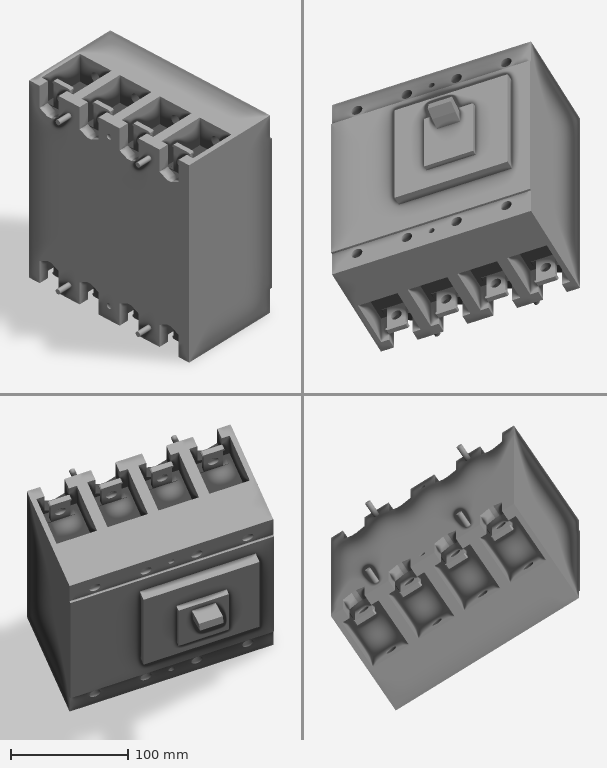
import cadquery as cq


HEIGHT = 205.0
WIDTH = 186.0
BODY_DEPTH = 101.5
POLE_COUNT = 4
POLE_PITCH = WIDTH / POLE_COUNT
POLE_CENTRES = [(i - (POLE_COUNT - 1) / 2) * POLE_PITCH for i in range(POLE_COUNT)]
TOP = HEIGHT / 2

COVER_CENTRE_X = POLE_CENTRES[1]
PLATE_HEIGHT = 155.4
PLATE_THICKNESS = 2.0
ESCUTCHEON_SIZE = 105.8
ESCUTCHEON_THICKNESS = 9.0
ESCUTCHEON_Z = 6.8
BEZEL_WIDTH = 46.0
BEZEL_HEIGHT = 57.6
BEZEL_THICKNESS = 5.1
BEZEL_Z = 3.5
PLATE_FRONT = BODY_DEPTH + PLATE_THICKNESS
ESCUTCHEON_FRONT = PLATE_FRONT + ESCUTCHEON_THICKNESS
BEZEL_FRONT = ESCUTCHEON_FRONT + BEZEL_THICKNESS

HANDLE_WIDTH = 21.7
HANDLE_PROFILE = [
    (0, 25.2),
    (5.7, 27.3),
    (17.0, 29.5),
    (19.3, 22.0),
    (9.8, 17.8),
    (0, 15.0),
]

POCKET_WIDTH = 37.0
POCKET_DEPTH = 28.7
POCKET_BACK = 10.2
POCKET_FRONT = 58.2

SLOT_WIDTH = 22.1
SLOT_STRAIGHT = 23.0
SLOT_DEPTH = 27.5
SLOT_FLAT = 4.5

TAB_BACK = 15.2
TAB_THICKNESS = 4.7
TAB_FRONT = TAB_BACK + TAB_THICKNESS
TAB_INSET = 1.6
TAB_WIDTH = 17.6
TAB_TIP_WIDTH = 18.0
BARB_WIDTH = 20.0
BARB_CHAMFER = (BARB_WIDTH - TAB_TIP_WIDTH) / 2
BARB_BOTTOM = 4.3
FOOT_WIDTH = 28.3
FOOT_HEIGHT = 0.6

TERMINAL_HOLE_DIAMETER = 10.0
HOUSING_HOLE_INSET = 16.0
TAB_HOLE_INSET = 16.5
MOUNT_INSET = 14.5
MOUNT_HOLE_DIAMETER = 5.5
PIN_DIAMETER = 5.1
PIN_LENGTH = 14.1


def block(width, height, back, front, x=0.0, z=0.0):
    """Box centred on (x, z), spanning back to front in Y."""
    depth = front - back
    return cq.Workplane("XY").box(width, depth, height).translate((x, back + depth / 2, z))


def extrude_y(outline, back, front):
    """Extrude a closed XZ outline from back to front in Y."""
    return (
        cq.Workplane("XZ", origin=(0, back, 0))
        .polyline(outline)
        .close()
        .extrude(back - front)
    )


def rod(x, z, diameter, back, front):
    """Round bar along Y."""
    return (
        cq.Workplane("XZ", origin=(x, back, z))
        .circle(diameter / 2)
        .extrude(back - front)
    )


def mirrored_outline(right_half):
    """Close a right-hand half outline with its mirror image about X = 0."""
    left_half = [(-x, z) for x, z in reversed(right_half)]
    return right_half + left_half


def both_ends(upper):
    """The shape at the upper end together with its mirror at the lower end."""
    return upper.union(upper.mirror("XY"))


def front_cover():
    plate = block(WIDTH, PLATE_HEIGHT, BODY_DEPTH, PLATE_FRONT)
    escutcheon = block(
        ESCUTCHEON_SIZE, ESCUTCHEON_SIZE, PLATE_FRONT, ESCUTCHEON_FRONT, COVER_CENTRE_X, ESCUTCHEON_Z
    )
    bezel = block(BEZEL_WIDTH, BEZEL_HEIGHT, ESCUTCHEON_FRONT, BEZEL_FRONT, COVER_CENTRE_X, BEZEL_Z)
    return plate.union(escutcheon).union(bezel)


def handle():
    start_x = COVER_CENTRE_X - HANDLE_WIDTH / 2
    return (
        cq.Workplane("YZ", origin=(start_x, BEZEL_FRONT, 0))
        .polyline(HANDLE_PROFILE)
        .close()
        .extrude(HANDLE_WIDTH)
    )


def terminal_pocket():
    """Cutter for one upper pocket and its slot, centred on X = 0."""
    pocket = block(POCKET_WIDTH, POCKET_DEPTH, POCKET_BACK, POCKET_FRONT, z=TOP - POCKET_DEPTH / 2)
    slot_outline = mirrored_outline([
        (SLOT_WIDTH / 2, TOP),
        (SLOT_WIDTH / 2, TOP - SLOT_STRAIGHT),
        (SLOT_FLAT / 2, TOP - SLOT_DEPTH),
    ])
    return pocket.union(extrude_y(slot_outline, 0, POCKET_BACK))


def terminal_tab():
    """One upper tab with a barbed tip and a low bevelled foot, centred on X = 0."""
    tip = TOP - TAB_INSET
    floor = TOP - POCKET_DEPTH
    outline = mirrored_outline([
        (TAB_TIP_WIDTH / 2, tip),
        (BARB_WIDTH / 2, tip - BARB_CHAMFER),
        (BARB_WIDTH / 2, TOP - BARB_BOTTOM),
        (TAB_WIDTH / 2, TOP - BARB_BOTTOM),
        (TAB_WIDTH / 2, floor + FOOT_HEIGHT),
        (FOOT_WIDTH / 2 - FOOT_HEIGHT, floor + FOOT_HEIGHT),
        (FOOT_WIDTH / 2, floor),
    ])
    tab = extrude_y(outline, TAB_BACK, TAB_FRONT)
    return tab.cut(rod(0, TOP - TAB_HOLE_INSET, TERMINAL_HOLE_DIAMETER, TAB_BACK, TAB_FRONT))


pocket_cutter = both_ends(terminal_pocket())
tabs = both_ends(terminal_tab())
housing_hole = both_ends(
    rod(0, TOP - HOUSING_HOLE_INSET, TERMINAL_HOLE_DIAMETER, POCKET_FRONT, BODY_DEPTH)
)

result = block(WIDTH, HEIGHT, 0, BODY_DEPTH).union(front_cover()).union(handle())

for pole_x in POLE_CENTRES:
    offset = (pole_x, 0, 0)
    result = result.cut(pocket_cutter.translate(offset))
    result = result.cut(housing_hole.translate(offset))
    result = result.union(tabs.translate(offset))

mount_z = TOP - MOUNT_INSET
result = result.cut(both_ends(rod(0, mount_z, MOUNT_HOLE_DIAMETER, 0, BODY_DEPTH)))

for pin_x in (-POLE_PITCH, POLE_PITCH):
    result = result.union(both_ends(rod(pin_x, mount_z, PIN_DIAMETER, -PIN_LENGTH, 0)))